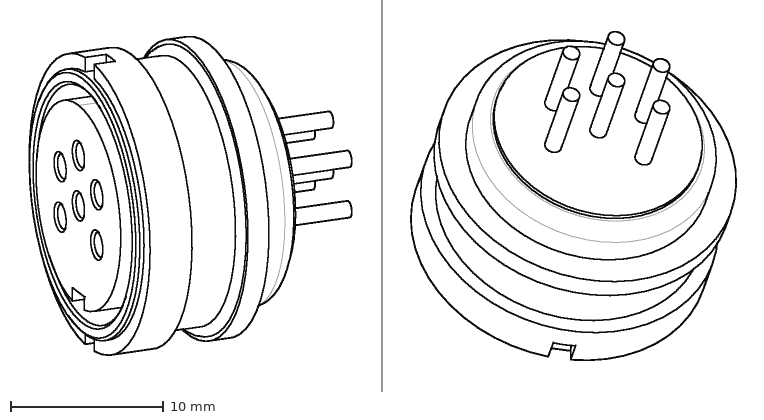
import cadquery as cq
import math


flange_radius = 10.0
shell_radius = 9.0
rear_radius = 8.2
shell_front = 0.3
flange_front = 7.8
flange_back = 9.3
shell_back = 12.2
rear_fillet = 1.0
rim_chamfer = 0.2

ring_front = 0.8
ring_back = 3.8
notch_width = 1.5
notch_length = 1.5

bead_section_radius = 0.5
bead_center_radius = 9.2

cavity_radius = 8.0
cavity_chamfer = 0.2
cavity_floor = 8.0
insert_radius = 7.0
insert_back = 12.5
key_width = 2.0
key_bottom = 6.0

contact_circle_radius = 3.5
contact_angles = [-30, 30, 90, 150, 210]
socket_radius = 0.82
socket_chamfer = 0.18
socket_depth = 6.0
pin_radius = 0.55
pin_end = 18.0


def cylinder(radius, start, end, x=0, z=0):
    """Cylinder parallel to Y between two Y positions."""
    base = cq.Vector(x, start, z)
    return cq.Workplane(cq.Solid.makeCylinder(radius, end - start, base, cq.Vector(0, 1, 0)))


def box(width, length, height, start, bottom):
    """Box centered on X, starting at the given Y and Z."""
    return (
        cq.Workplane("XY")
        .box(width, length, height, centered=(True, False, False))
        .translate((0, start, bottom))
    )


def make_shell():
    shell = cylinder(shell_radius, shell_front, flange_front).faces("<Y").chamfer(rim_chamfer)
    rear = cylinder(rear_radius, flange_front, shell_back).faces(">Y").edges().fillet(rear_fillet)
    flange = cylinder(flange_radius, flange_front, flange_back)
    bead = cq.Workplane(
        cq.Solid.makeTorus(
            bead_center_radius,
            bead_section_radius,
            cq.Vector(0, flange_front, 0),
            cq.Vector(0, 1, 0),
        )
    )
    return shell.union(rear).union(flange).union(bead)


def make_ring():
    ring = cylinder(flange_radius, ring_front, ring_back)
    ring = ring.cut(cylinder(shell_radius, ring_front, ring_back))
    notches = box(notch_width, notch_length, 2 * flange_radius, ring_front, -flange_radius)
    return ring.cut(notches)


def make_cavity():
    bore = cylinder(cavity_radius, shell_front, cavity_floor)
    mouth = cq.Workplane(
        cq.Solid.makeCone(
            cavity_radius + cavity_chamfer,
            cavity_radius,
            cavity_chamfer,
            cq.Vector(0, shell_front, 0),
            cq.Vector(0, 1, 0),
        )
    )
    return bore.union(mouth)


def make_insert():
    insert = cylinder(insert_radius, 0, insert_back)
    key_slot = box(key_width, cavity_floor, insert_radius - key_bottom, 0, -insert_radius)
    return insert.cut(key_slot)


def make_socket(x, z):
    bore = cylinder(socket_radius, 0, socket_depth, x, z)
    mouth = cq.Workplane(
        cq.Solid.makeCone(
            socket_radius + socket_chamfer,
            socket_radius,
            socket_chamfer,
            cq.Vector(x, 0, z),
            cq.Vector(0, 1, 0),
        )
    )
    return bore.union(mouth)


contacts = [(0, 0)]
for angle in contact_angles:
    x = contact_circle_radius * math.cos(math.radians(angle))
    z = contact_circle_radius * math.sin(math.radians(angle))
    contacts.append((x, z))

result = make_shell().cut(make_cavity()).union(make_ring()).union(make_insert())
for x, z in contacts:
    result = result.cut(make_socket(x, z))
    result = result.union(cylinder(pin_radius, shell_back, pin_end, x, z))